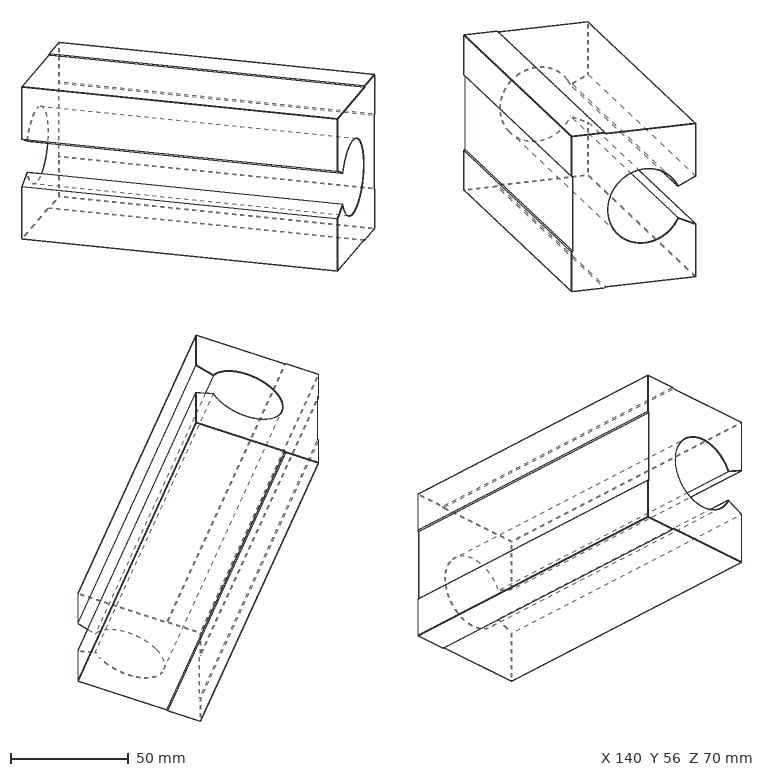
import cadquery as cq
import math

LENGTH = 140.0
DEPTH = 56.0
HEIGHT = 70.0

BORE_DIAMETER = 33.0
BORE_TO_FRONT = 23.0
OPENING_ANGLE = 50.0

PAD_WIDTH = 15.0
PAD_HEIGHT = 0.43
PAD_RAMP = 0.5

RELIEF_HEIGHT = 34.0
RELIEF_DEPTH = 0.5
RELIEF_RAMP = 0.5

EDGE_CHAMFER = 0.25

FRONT_Y = -BORE_TO_FRONT
BACK_Y = FRONT_Y + DEPTH
HALF_HEIGHT = HEIGHT / 2
LOW_HALF_HEIGHT = HALF_HEIGHT - PAD_HEIGHT
PAD_EDGE_Y = BACK_Y - PAD_WIDTH
HALF_RELIEF = RELIEF_HEIGHT / 2


def half_outline():
    """(Y, Z) corners of the upper half of the block, from back to front."""
    return [
        (BACK_Y - RELIEF_DEPTH, HALF_RELIEF - RELIEF_RAMP),
        (BACK_Y, HALF_RELIEF),
        (BACK_Y, HALF_HEIGHT - EDGE_CHAMFER),
        (BACK_Y - EDGE_CHAMFER, HALF_HEIGHT),
        (PAD_EDGE_Y, HALF_HEIGHT),
        (PAD_EDGE_Y - PAD_RAMP, LOW_HALF_HEIGHT),
        (FRONT_Y + EDGE_CHAMFER, LOW_HALF_HEIGHT),
        (FRONT_Y, LOW_HALF_HEIGHT - EDGE_CHAMFER),
    ]


def make_block():
    """Solid block, symmetric about the horizontal plane through the bore."""
    upper = half_outline()
    lower = [(y, -z) for y, z in reversed(upper)]
    profile = cq.Workplane("YZ").polyline(upper + lower).close()
    return profile.extrude(LENGTH / 2, both=True)


def make_bore():
    """Round bore through the full length."""
    return cq.Workplane("YZ").circle(BORE_DIAMETER / 2).extrude(LENGTH / 2, both=True)


def make_opening():
    """Wedge from the bore axis out through the front face, with radial walls."""
    half_width = BORE_TO_FRONT * math.tan(math.radians(OPENING_ANGLE / 2))
    corners = [(0, 0), (FRONT_Y, half_width), (FRONT_Y, -half_width)]
    profile = cq.Workplane("YZ").polyline(corners).close()
    return profile.extrude(LENGTH / 2, both=True)


def break_end_edges(body):
    """Chamfer every edge of both end faces, including the bore mouths."""
    return body.faces("<X or >X").edges().chamfer(EDGE_CHAMFER)


block_with_bore = make_block().cut(make_bore()).cut(make_opening())
result = break_end_edges(block_with_bore)